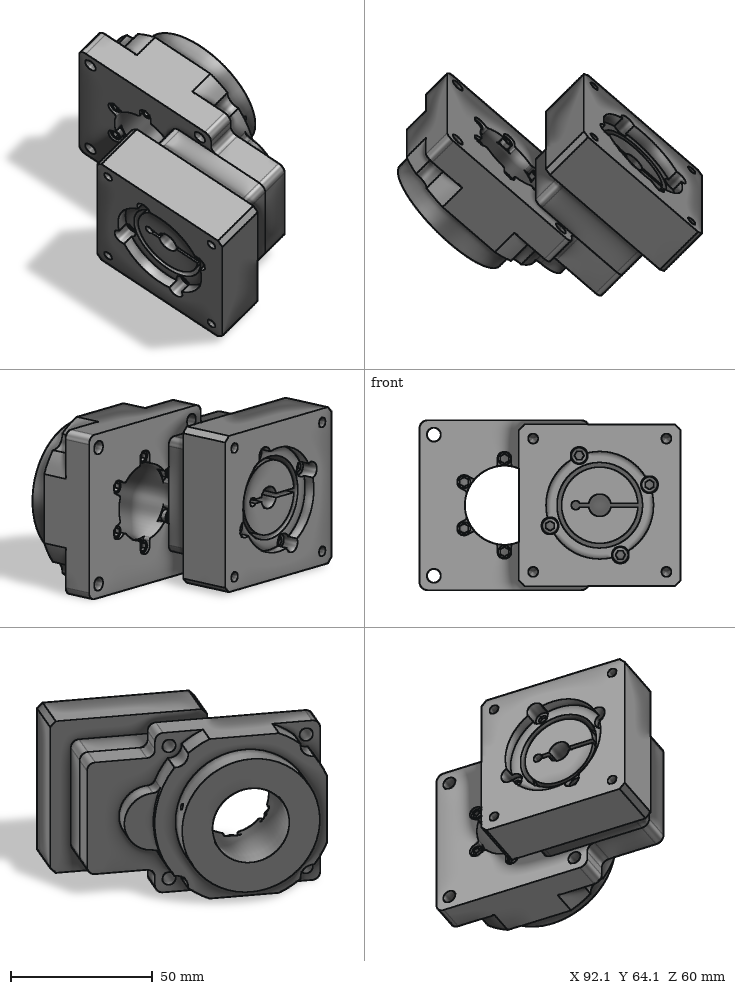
import cadquery as cq
import math


plate_side = 60.0
plate_depth = 11.0
corner_radius = 2.95
corner_hole_offset = 24.9
corner_hole_radius = 2.4
collar_radius = 32.5
collar_depth = 10.0
notch_radius = 4.5
rotor_radius = 25.0
rotor_depth = 9.95
bore_radius = 13.9
dowel_hole_radius = 1.1
dowel_hole_depth = 4.6
dowel_hole_angle = 17

axis_offset = 33.6
lobe_side = 42.0
boss_offset = 32.3
boss_radius = 10.7
boss_depth = 8.0

table_screw_count = 6
table_screw_circle = 16.4
table_screw_angle = 30
table_slot_rounding = 0.9
table_recess_radius = 2.5
table_recess_depth = 3.0
table_head_radius = 2.2
table_head_height = 2.1
socket_width = 2.95
socket_depth = 1.8
socket_corner_angle = 30

neck_depth = 13.4
flange_side = 57.0
flange_depth = 19.7
flange_chamfer = 2.0
motor_hole_offset = 23.5
motor_hole_radius = 1.75
motor_hole_depth = 9.2
drill_tip_angle = 118
pilot_radius = 19.0
pilot_depth = 4.1
hub_cavity_radius = 15.1
hub_cavity_depth = 13.8

hub_radius = 13.45
hub_recess = 4.5
hub_bore_radius = 4.0
hub_slot_width = 1.6
relief_hole_radius = 1.6
relief_hole_offset = 8.5

flange_screw_count = 4
flange_screw_angle = 22.5
flange_recess_radius = 3.0
flange_recess_depth = 7.4
flange_head_radius = 2.8
flange_head_height = 1.2

flange_front = -neck_depth - flange_depth
plate_back = plate_depth
collar_back = plate_back + collar_depth

tolerance = 0.01


def plane_at(y):
    """Workplane at depth y whose extrusions run toward +Y when given a negative length."""
    return cq.Workplane("XZ", origin=(0, y, 0))


def cylinder(x, z, radius, y, depth):
    return plane_at(y).center(x, z).circle(radius).extrude(-depth)


def block(x, side, y, depth):
    return plane_at(y).center(x, 0).rect(side, side).extrude(-depth)


def square_corners(x, offset):
    return [(x + i * offset, k * offset) for i in (-1, 1) for k in (-1, 1)]


def polar_points(x, radius, count, start_angle):
    angles = [math.radians(start_angle + 360 / count * i) for i in range(count)]
    return [(x + radius * math.cos(a), radius * math.sin(a)) for a in angles]


def socket_head(x, z, radius, height, y, turn=0):
    """Screw head whose outer face lies at depth y, with a hexagonal socket turned by an angle."""
    corner_circle = socket_width / math.sqrt(3)
    corners = polar_points(0, corner_circle, 6, socket_corner_angle + turn)
    socket = plane_at(y).center(x, z).polyline(corners).close().extrude(-socket_depth)
    return cylinder(x, z, radius, y, height).cut(socket)


def make_collar():
    """Round collar trimmed to the plate on three sides and notched at the corner holes."""
    trim_width = plate_side / 2 + collar_radius
    trim_center = (collar_radius - plate_side / 2) / 2
    trim = plane_at(plate_back).center(trim_center, 0).rect(trim_width, plate_side).extrude(-collar_depth)
    collar = cylinder(0, 0, collar_radius, plate_back, collar_depth).intersect(trim)
    for x, z in square_corners(0, corner_hole_offset):
        collar = collar.cut(cylinder(x, z, notch_radius, plate_back, collar_depth))
    return collar


def make_base():
    """Square plate joined to the smaller lobe, with the inner corners between them rounded."""
    plate = block(0, plate_side, 0, plate_depth).edges("|Y").fillet(corner_radius)
    lobe = block(axis_offset, lobe_side, 0, plate_depth).edges("|Y").fillet(corner_radius)
    base = plate.union(lobe)
    plate_edge = plate_side / 2
    lobe_edge = lobe_side / 2
    for side in (-1, 1):
        corner = (
            plane_at(0)
            .moveTo(plate_edge, side * lobe_edge)
            .lineTo(plate_edge + corner_radius, side * lobe_edge)
            .radiusArc((plate_edge, side * (lobe_edge + corner_radius)), side * corner_radius)
            .close()
            .extrude(-plate_depth)
        )
        base = base.union(corner)
    return base


def make_boss():
    """Round boss behind the lobe, blended into the collar with a concave arc on each side."""
    boss = cylinder(boss_offset, 0, boss_radius, plate_back, boss_depth)
    to_collar = collar_radius + corner_radius
    to_boss = boss_radius + corner_radius
    blend_x = (to_collar**2 - to_boss**2 + boss_offset**2) / (2 * boss_offset)
    blend_z = math.sqrt(to_collar**2 - blend_x**2)
    collar_x = blend_x * collar_radius / to_collar
    collar_z = blend_z * collar_radius / to_collar
    boss_x = blend_x + (boss_offset - blend_x) * corner_radius / to_boss
    boss_z = blend_z * boss_radius / to_boss
    web = (
        plane_at(plate_back)
        .moveTo(collar_x, -collar_z)
        .lineTo(collar_x, collar_z)
        .radiusArc((boss_x, boss_z), -corner_radius)
        .lineTo(boss_x, -boss_z)
        .radiusArc((collar_x, -collar_z), -corner_radius)
        .close()
        .extrude(-boss_depth)
    )
    return boss.union(web)


def add_table_screws(housing):
    """Screws in recesses that open into the bore through rounded slots of the same width."""
    slot = (
        plane_at(0)
        .center(table_screw_circle / 2, 0)
        .rect(table_screw_circle, 2 * table_recess_radius)
        .extrude(-table_recess_depth)
    )
    centers = polar_points(0, table_screw_circle, table_screw_count, table_screw_angle)
    for i, (x, z) in enumerate(centers):
        angle = table_screw_angle + 360 / table_screw_count * i
        housing = housing.cut(cylinder(x, z, table_recess_radius, 0, table_recess_depth))
        housing = housing.cut(slot.rotate((0, 0, 0), (0, 1, 0), -angle))

    near_bore = cylinder(0, 0, bore_radius + tolerance, 0, table_recess_depth).val()
    slot_edges = housing.edges("|Y").filter(
        lambda edge: near_bore.isInside(edge.Center()) and edge.Length() < table_recess_depth + tolerance
    )
    housing = slot_edges.fillet(table_slot_rounding)

    head_face = table_recess_depth - table_head_height
    for x, z in centers:
        housing = housing.union(socket_head(x, z, table_head_radius, table_head_height, head_face))
    return housing


def make_dowel_hole():
    """Radial hole in the rim of the rotor, as a cylinder that also reaches outside the rim."""
    angle = math.radians(dowel_hole_angle)
    outward = cq.Vector(math.cos(angle), 0, math.sin(angle))
    middle = cq.Vector(0, collar_back + rotor_depth / 2, 0)
    bottom = middle + outward * (rotor_radius - dowel_hole_depth)
    return cq.Workplane(cq.Solid.makeCylinder(dowel_hole_radius, 2 * dowel_hole_depth, bottom, outward))


def make_rotary_housing():
    housing = make_base().union(make_collar()).union(make_boss())
    housing = housing.union(cylinder(0, 0, rotor_radius, collar_back, rotor_depth))
    bore = cylinder(0, 0, bore_radius, 0, collar_back + rotor_depth)
    housing = housing.cut(bore)

    for x, z in square_corners(0, corner_hole_offset):
        housing = housing.cut(cylinder(x, z, corner_hole_radius, 0, plate_depth))

    housing = add_table_screws(housing)
    return housing.cut(make_dowel_hole())


def make_hub():
    """Clamping hub standing on the floor of the cavity, split by a slot that ends in a relief hole."""
    front = flange_front + hub_recess
    depth = hub_cavity_depth - hub_recess
    slot_length = relief_hole_offset + hub_radius
    slot = (
        plane_at(front)
        .center(axis_offset - relief_hole_offset + slot_length / 2, 0)
        .rect(slot_length, hub_slot_width)
        .extrude(-depth)
    )
    return (
        cylinder(axis_offset, 0, hub_radius, front, depth)
        .cut(cylinder(axis_offset, 0, hub_bore_radius, front, depth))
        .cut(cylinder(axis_offset - relief_hole_offset, 0, relief_hole_radius, front, depth))
        .cut(slot)
    )


def make_motor_hole(x, z):
    """Blind hole in the flange face that ends in a drill-tip cone."""
    tip_length = motor_hole_radius / math.tan(math.radians(drill_tip_angle / 2))
    tip_start = cq.Vector(x, flange_front + motor_hole_depth, z)
    tip = cq.Solid.makeCone(motor_hole_radius, 0, tip_length, tip_start, cq.Vector(0, 1, 0))
    return cylinder(x, z, motor_hole_radius, flange_front, motor_hole_depth).union(cq.Workplane(tip))


def make_motor_adapter():
    neck = block(axis_offset, lobe_side, -neck_depth, neck_depth).edges("|Y").fillet(corner_radius)
    flange = block(axis_offset, flange_side, flange_front, flange_depth).edges("|Y").chamfer(flange_chamfer)
    adapter = neck.union(flange)
    adapter = adapter.cut(cylinder(axis_offset, 0, pilot_radius, flange_front, pilot_depth))
    adapter = adapter.cut(cylinder(axis_offset, 0, hub_cavity_radius, flange_front, hub_cavity_depth))
    adapter = adapter.union(make_hub())

    for x, z in square_corners(axis_offset, motor_hole_offset):
        adapter = adapter.cut(make_motor_hole(x, z))

    head_face = flange_front + flange_recess_depth - flange_head_height
    centers = polar_points(axis_offset, pilot_radius, flange_screw_count, flange_screw_angle)
    for i, (x, z) in enumerate(centers):
        turn = 360 / flange_screw_count * i
        recess = cylinder(x, z, flange_recess_radius, flange_front, flange_recess_depth)
        head = socket_head(x, z, flange_head_radius, flange_head_height, head_face, turn)
        adapter = adapter.cut(recess).union(head)
    return adapter


rotary_housing = make_rotary_housing()
motor_adapter = make_motor_adapter()

result = cq.Compound.makeCompound([rotary_housing.val(), motor_adapter.val()])